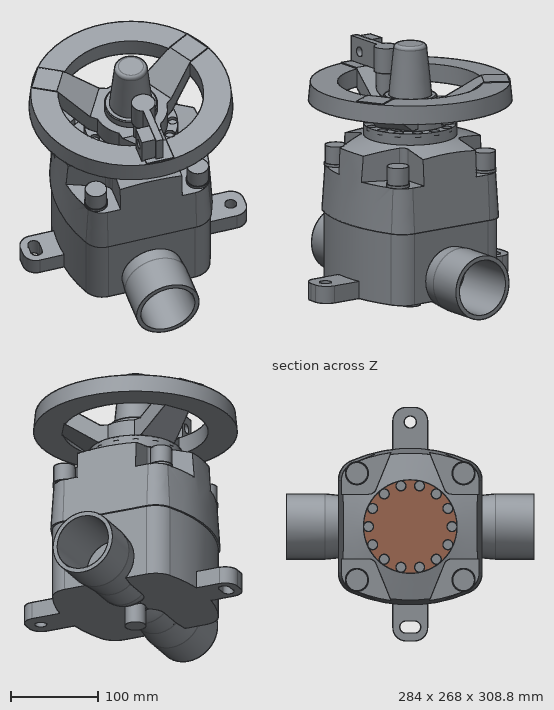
import cadquery as cq
import math


body_half_x = 80.3
body_half_y = 87.7
bulge_radius = 166.7
corner_radius = 24.5
body_top = 84.5
bonnet_overhang = 2.2
bonnet_taper = 3.8
ledge_z = 138.0

roof_top = 178.0
roof_top_radius = 47.5
roof_slope = 0.25
roof_reach = 105.0

pocket_x = 41.5
pocket_y = 37.0
pocket_outer_x = 18.8
pocket_outer_y = 92.5
pocket_clear = 123.5
pocket_corner_radius = 9.3

bolt_offset = 61.0
bolt_radius = 12.5
bolt_top = 161.8
washer_radius = 13.3
washer_height = 3.0

pipe_half_length = 142.0
pipe_axis_z = 25.3
pipe_radius = 75.0 / 2
bore_radius = 32.5
neck_radius = 34.0
neck_start = 97.5
neck_end = 61.7
chamber_end = 29.5
waist_radius = 27.5
waist_half_length = 11.7

rear_ear_tip = 136.8
front_ear_tip = 131.2
ear_half_width = 20.0
ear_height = 20.5
ear_corner_radius = 15.5
rear_hole_y = 119.8
front_slot_y = -115.0
ear_hole_diameter = 13.5
ear_slot_length = 23.8
drain_radius = 12.0
drain_length = 23.8

disc_radius = 53.7
disc_top = 191.5
index_count = 14
index_circle = 48.0
index_hole_radius = 5.5
index_hole_depth = 4.3

hub_radius = 42.0
hub_bottom = 194.0
hub_top = 215.5
rim_bottom = 219.0
rim_top = 240.2
rim_inner_radius = 83.5
rim_top_radius = 114.8
rim_bottom_radius = 117.0
spoke_count = 3
spoke_root_x = 42.5
spoke_root_half_width = 23.5
spoke_tip_half_width = 16.5
spoke_bottom_x = 44.5
pad_height = 1.2
pad_end = 113.0

collar_radius = 30.5
collar_height = 9.3
collar_chamfer = 1.2
cap_top = 285.0
cap_base_radius = 24.7
cap_top_radius = 18.5
cap_round = 4.5

pin_x = 47.5
pin_radius = 22.5 / 2
knob_radius = 13.5
knob_bottom = 242.3
knob_top = 272.0
arm_half_width = 8.3 / 2
arm_end = 110.2
block_start = 84.0
block_end = 106.8
block_face_y = -20.5
block_top = 271.0
lock_hole_x = 94.0
lock_hole_z = 256.0
lock_hole_radius = 5.5


def cylinder(radius, bottom, top, x=0.0, y=0.0):
    return cq.Workplane("XY", origin=(x, y, bottom)).circle(radius).extrude(top - bottom)


def box(x_range, y_range, z_range):
    sizes = [high - low for low, high in (x_range, y_range, z_range)]
    corner = (x_range[0], y_range[0], z_range[0])
    return cq.Workplane("XY").box(*sizes, centered=False).translate(corner)


def housing_block(margin, bottom, height, taper=0):
    """Rounded block whose two Y sides bulge outward as arcs."""
    half_x = body_half_x + margin
    half_y = body_half_y + margin
    sagitta = bulge_radius - math.sqrt(bulge_radius**2 - half_x**2)
    side_y = half_y - sagitta
    outline = (
        cq.Sketch()
        .segment((half_x, -side_y), (half_x, side_y))
        .arc((half_x, side_y), (0, half_y), (-half_x, side_y))
        .segment((-half_x, side_y), (-half_x, -side_y))
        .arc((-half_x, -side_y), (0, -half_y), (half_x, -side_y))
        .assemble()
        .vertices()
        .fillet(corner_radius)
    )
    return cq.Workplane("XY", origin=(0, 0, bottom)).placeSketch(outline).extrude(height, taper=taper)


def bonnet():
    block = housing_block(bonnet_overhang, body_top, roof_top - body_top, bonnet_taper)
    eave_z = roof_top - roof_slope * (roof_reach - roof_top_radius)
    under_roof = (
        cq.Workplane("XZ")
        .polyline([
            (0, body_top), (roof_reach, body_top), (roof_reach, eave_z),
            (roof_top_radius, roof_top), (0, roof_top),
        ])
        .close()
        .revolve(360, (0, 0), (0, 1))
    )
    block = block.intersect(under_roof)
    pocket = (
        cq.Workplane("XY", origin=(0, 0, ledge_z))
        .polyline([
            (pocket_x, pocket_y), (pocket_clear, pocket_y), (pocket_clear, pocket_clear),
            (pocket_outer_x, pocket_clear), (pocket_outer_x, pocket_outer_y),
        ])
        .close()
        .extrude(roof_top - ledge_z)
        .edges(cq.selectors.NearestToPointSelector((pocket_x, pocket_y, (ledge_z + roof_top) / 2)))
        .fillet(pocket_corner_radius)
    )
    for half in (pocket, pocket.mirror("YZ")):
        block = block.cut(half).cut(half.mirror("XZ"))
    for x in (-bolt_offset, bolt_offset):
        for y in (-bolt_offset, bolt_offset):
            block = block.union(cylinder(washer_radius, ledge_z, ledge_z + washer_height, x, y))
            block = block.union(cylinder(bolt_radius, ledge_z, bolt_top, x, y))
    return block


def pipe_stub():
    """Solid +X half of the pipe: plain pipe end, tapering neck, chamber rounded down to the waist."""
    return (
        cq.Workplane("XY")
        .lineTo(pipe_half_length, 0)
        .lineTo(pipe_half_length, pipe_radius)
        .lineTo(neck_start, pipe_radius)
        .lineTo(neck_end, neck_radius)
        .lineTo(chamber_end, neck_radius)
        .tangentArcPoint((waist_half_length, waist_radius), relative=False)
        .lineTo(0, waist_radius)
        .close()
        .revolve(360, (0, 0), (1, 0))
        .translate((0, 0, pipe_axis_z))
    )


def pipe_bore():
    return (
        cq.Workplane("YZ", origin=(neck_end, 0, pipe_axis_z))
        .circle(bore_radius)
        .extrude(pipe_half_length - neck_end)
    )


def ear(tip):
    """Mounting ear on the +Y side, without its hole."""
    return (
        box((-ear_half_width, ear_half_width), (0, tip), (0, ear_height))
        .edges("|Z and >Y")
        .fillet(ear_corner_radius)
    )


def valve_body():
    block = housing_block(0, 0, body_top)
    block = block.union(cylinder(drain_radius, -drain_length, body_top))
    block = block.union(ear(rear_ear_tip)).union(ear(front_ear_tip).mirror("XZ"))
    block = block.union(pipe_stub()).union(pipe_stub().mirror("YZ"))
    block = block.cut(pipe_bore()).cut(pipe_bore().mirror("YZ"))
    round_hole = cylinder(ear_hole_diameter / 2, 0, ear_height, 0, rear_hole_y)
    slot = (
        cq.Workplane("XY", origin=(0, front_slot_y, 0))
        .slot2D(ear_slot_length, ear_hole_diameter)
        .extrude(ear_height)
    )
    return block.cut(round_hole).cut(slot)


def index_disc():
    disc = cylinder(disc_radius, roof_top, disc_top)
    holes = (
        cq.Workplane("XY", origin=(0, 0, disc_top))
        .polarArray(index_circle, 0, 360, index_count)
        .circle(index_hole_radius)
        .extrude(-index_hole_depth)
    )
    return disc.cut(holes)


def spoke():
    """Sloping spoke along +X, narrowing from the hub and ending as a raised pad across the rim."""
    pad_top = rim_top + pad_height
    profile = (
        cq.Workplane("XZ")
        .polyline([
            (0, hub_bottom), (spoke_bottom_x, hub_bottom), (rim_inner_radius, rim_bottom),
            (pad_end, rim_bottom), (pad_end, pad_top), (rim_inner_radius, pad_top),
            (spoke_root_x, hub_top), (0, hub_top),
        ])
        .close()
        .extrude(hub_radius, both=True)
    )
    narrowing = (spoke_root_half_width - spoke_tip_half_width) / (rim_inner_radius - spoke_root_x)
    centre_half_width = spoke_root_half_width + narrowing * spoke_root_x
    plan = (
        cq.Workplane("XY", origin=(0, 0, hub_bottom))
        .polyline([
            (0, -centre_half_width), (rim_inner_radius, -spoke_tip_half_width),
            (pad_end, -spoke_tip_half_width), (pad_end, spoke_tip_half_width),
            (rim_inner_radius, spoke_tip_half_width), (0, centre_half_width),
        ])
        .close()
        .extrude(pad_top - hub_bottom)
    )
    return profile.intersect(plan)


def handwheel():
    wheel = cylinder(hub_radius, hub_bottom, hub_top)
    for index in range(spoke_count):
        wheel = wheel.union(spoke().rotate((0, 0, 0), (0, 0, 1), index * 360 / spoke_count))
    rim = (
        cq.Workplane("XZ")
        .polyline([
            (rim_inner_radius, rim_bottom), (rim_bottom_radius, rim_bottom),
            (rim_top_radius, rim_top), (rim_inner_radius, rim_top),
        ])
        .close()
        .revolve(360, (0, 0), (0, 1))
    )
    foot = cylinder(hub_radius, disc_top, hub_bottom)
    return wheel.union(rim).union(foot)


def stem_cap():
    collar_top = hub_top + collar_height
    collar = cylinder(collar_radius, hub_top, collar_top).faces(">Z").chamfer(collar_chamfer)
    cap = (
        cq.Workplane("XY", origin=(0, 0, collar_top))
        .circle(cap_base_radius)
        .workplane(offset=cap_top - collar_top)
        .circle(cap_top_radius)
        .loft()
        .faces(">Z")
        .edges()
        .fillet(cap_round)
    )
    return collar.union(cap)


def locking_pin():
    lock = cylinder(knob_radius, knob_bottom, knob_top, pin_x)
    lock = lock.union(cylinder(pin_radius, disc_top, knob_bottom, pin_x))
    lock = lock.union(box((pin_x, arm_end), (-arm_half_width, arm_half_width), (knob_bottom, knob_top)))
    lock = lock.union(box(
        (block_start, block_end), (block_face_y, -arm_half_width), (rim_top, block_top)
    ))
    lock_hole = (
        cq.Workplane("XZ", origin=(lock_hole_x, arm_half_width, lock_hole_z))
        .circle(lock_hole_radius)
        .extrude(arm_half_width - block_face_y)
    )
    return lock.cut(lock_hole)


result = valve_body()
for section in (bonnet(), index_disc(), handwheel(), stem_cap(), locking_pin()):
    result = result.union(section)